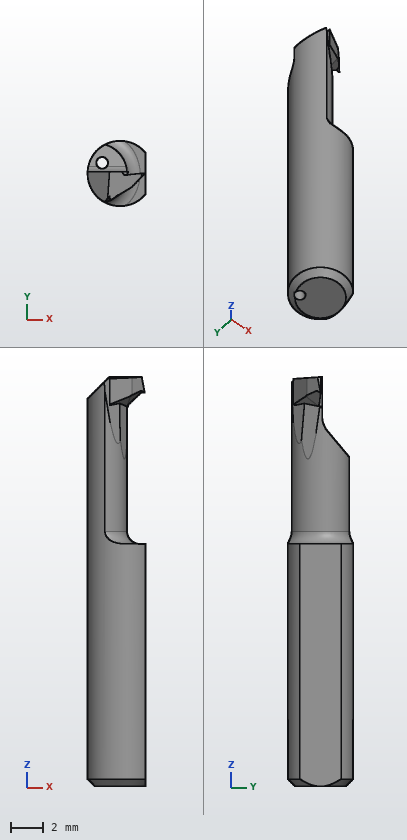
import cadquery as cq
import math

TOTAL_LENGTH = 25.0
SHANK_RADIUS = 2.0
FLAT_X = 1.55
END_CHAMFER = 0.44

SHOULDER_Z = 14.8
NECK_RADIUS = 1.83
NECK_EDGE_X = 0.42
NECK_AXIS_X = NECK_EDGE_X - NECK_RADIUS
NECK_FILLET = 0.78

COOLANT_DIAMETER = 0.7
COOLANT_X = -1.1
COOLANT_Y = 0.65

RAKE_Y = 0.11
RUNOUT_Y = 1.8
RUNOUT_Z = 20.05
RUNOUT_ANGLE = 40.0
RUNOUT_RADIUS = 1.4

HEEL = (-0.63, -1.655)
FLANK_CORNER = (0.71, -0.83)
NOSE_X = 1.5
NOSE_TOP_X = 1.32
NOSE_BOTTOM_Z = 24.03
TOP_RELIEF = 4.0
BACK_CHAMFER_Z = 23.65

HOOK_Z0 = 22.75
HOOK_SLOPE_X = 1.0
SIDE_CLEARANCE = -0.5
HEEL_Z0 = 22.84
HEEL_SLOPE_X = 0.75
HEEL_CLEARANCE = -0.57

UNDERCUT_Z = 23.1
UNDERCUT_LEFT = (-0.78, -1.718)
UNDERCUT_MIDDLE = (-0.03, -1.0)
UNDERCUT_RIGHT = (0.35, -0.2)
LEFT_FLAT_RUNOUT_Z = 20.94
RIGHT_FLAT_RUNOUT_Z = 20.0

GROOVE_START_X = 0.1
GROOVE_FLOOR_X = 0.25
GROOVE_FLOOR_Y = -0.1
GROOVE_END_Y = 0.03
GROOVE_BOTTOM_Z = 23.2

BLOCK = 4 * SHANK_RADIUS


def half_space(point, normal, x_dir):
    """Block whose base lies on the plane at point and which extends along normal."""
    plane = cq.Plane(origin=point, xDir=x_dir, normal=normal)
    return cq.Workplane(plane).rect(2 * BLOCK, 2 * BLOCK).extrude(BLOCK)


def below(z0, slope_x, slope_y):
    """Space under the plane Z = z0 + slope_x * X + slope_y * Y."""
    return half_space((0, 0, z0), (slope_x, slope_y, -1), (1, 0, slope_x))


def make_shank():
    """Full-length bar with the bottom chamfer and the clamping flat."""
    shank = cq.Workplane("XY").circle(SHANK_RADIUS).extrude(TOTAL_LENGTH)
    shank = shank.faces("<Z").chamfer(END_CHAMFER)
    flat_side = cq.Workplane("YZ").workplane(offset=FLAT_X).rect(BLOCK, 2 * TOTAL_LENGTH)
    return shank.cut(flat_side.extrude(BLOCK))


def neck_relief():
    """Ring outside the neck, with a filleted foot at the shoulder."""
    fillet_top = SHOULDER_Z + NECK_FILLET
    foot = NECK_RADIUS + NECK_FILLET
    bend = NECK_FILLET * (1 - math.sqrt(0.5))
    return (
        cq.Workplane("XZ")
        .moveTo(NECK_RADIUS, TOTAL_LENGTH)
        .lineTo(NECK_RADIUS, fillet_top)
        .threePointArc((NECK_RADIUS + bend, SHOULDER_Z + bend), (foot, SHOULDER_Z))
        .lineTo(BLOCK, SHOULDER_Z)
        .lineTo(BLOCK, TOTAL_LENGTH)
        .close()
        .revolve(360, (0, 0, 0), (0, 1, 0))
        .translate((NECK_AXIS_X, 0, 0))
    )


def undercut_flat(start, end, runout_z):
    """Tilted flat through two plan points that leaves the neck surface at runout_z."""
    dx = end[0] - start[0]
    dy = end[1] - start[1]
    length = math.hypot(dx, dy)
    out_x = dy / length
    out_y = -dx / length
    distance = (start[0] - NECK_AXIS_X) * out_x + start[1] * out_y
    tilt = (NECK_RADIUS - distance) / (UNDERCUT_Z - runout_z)
    return half_space((start[0], start[1], UNDERCUT_Z), (out_x, out_y, tilt), (dx, dy, 0))


def make_head():
    """Hooked cutting head: flanks in plan, relieved underside and tilted nose."""
    plan = [
        HEEL,
        FLANK_CORNER,
        (NOSE_X, 0),
        (NOSE_X, RAKE_Y),
        (HEEL[0], RAKE_Y),
    ]
    head_start = HOOK_Z0 - SHANK_RADIUS
    head = cq.Workplane("XY").workplane(offset=head_start).polyline(plan).close()
    head = head.extrude(TOTAL_LENGTH - head_start)
    hook = below(HOOK_Z0, HOOK_SLOPE_X, SIDE_CLEARANCE)
    tip = below(NOSE_BOTTOM_Z, 0, SIDE_CLEARANCE)
    heel = below(HEEL_Z0, HEEL_SLOPE_X, HEEL_CLEARANCE)
    head = head.cut(hook.intersect(tip)).cut(heel)

    nose_rise = TOTAL_LENGTH - NOSE_BOTTOM_Z
    nose_normal = (nose_rise, 0, NOSE_X - NOSE_TOP_X)
    return head.cut(half_space((NOSE_X, 0, NOSE_BOTTOM_Z), nose_normal, (0, 1, 0)))


def chip_groove():
    """Recess in the cutting face that deepens from the nose toward the neck."""
    plan = [
        (GROOVE_START_X, RAKE_Y),
        (GROOVE_FLOOR_X, GROOVE_FLOOR_Y),
        (NOSE_X, GROOVE_END_Y),
        (NOSE_X, RAKE_Y),
    ]
    groove = cq.Workplane("XY").workplane(offset=GROOVE_BOTTOM_Z).polyline(plan).close()
    return groove.extrude(TOTAL_LENGTH - GROOVE_BOTTOM_Z)


def rake_cutaway():
    """Everything behind the cutting plane, sloping out to the back of the neck."""
    angle = math.radians(RUNOUT_ANGLE)
    corner_z = RUNOUT_Z + (RUNOUT_Y - RAKE_Y) / math.tan(angle)
    outer_z = corner_z - (BLOCK - RAKE_Y) / math.tan(angle)
    tangent = RUNOUT_RADIUS * math.tan(angle / 2)
    fillet_top = corner_z + tangent
    center_y = RAKE_Y + RUNOUT_RADIUS
    fillet_middle = (
        center_y - RUNOUT_RADIUS * math.cos(angle / 2),
        fillet_top - RUNOUT_RADIUS * math.sin(angle / 2),
    )
    fillet_end = (
        center_y - RUNOUT_RADIUS * math.cos(angle),
        fillet_top - RUNOUT_RADIUS * math.sin(angle),
    )
    return (
        cq.Workplane("YZ")
        .moveTo(RAKE_Y, TOTAL_LENGTH)
        .lineTo(RAKE_Y, fillet_top)
        .threePointArc(fillet_middle, fillet_end)
        .lineTo(BLOCK, outer_z)
        .lineTo(BLOCK, TOTAL_LENGTH)
        .close()
        .extrude(BLOCK, both=True)
    )


def top_relief():
    """Space above the sloping top face."""
    slope = math.tan(math.radians(TOP_RELIEF))
    return half_space((0, RAKE_Y, TOTAL_LENGTH), (0, -slope, 1), (1, 0, 0))


def back_chamfer():
    """Space outside the 45 degree chamfer on the -X side of the top."""
    return half_space((-SHANK_RADIUS, 0, BACK_CHAMFER_Z), (-1, 0, 1), (0, 1, 0))


def coolant_hole():
    """Cylinder parallel to the shank, from end to end."""
    hole = cq.Workplane("XY").center(COOLANT_X, COOLANT_Y)
    return hole.circle(COOLANT_DIAMETER / 2).extrude(TOTAL_LENGTH)


body = make_shank().cut(neck_relief())
body = body.cut(undercut_flat(UNDERCUT_LEFT, UNDERCUT_MIDDLE, LEFT_FLAT_RUNOUT_Z))
body = body.cut(undercut_flat(UNDERCUT_MIDDLE, UNDERCUT_RIGHT, RIGHT_FLAT_RUNOUT_Z))
body = body.union(make_head()).cut(chip_groove())
body = body.cut(rake_cutaway()).cut(top_relief()).cut(back_chamfer())
result = body.cut(coolant_hole())